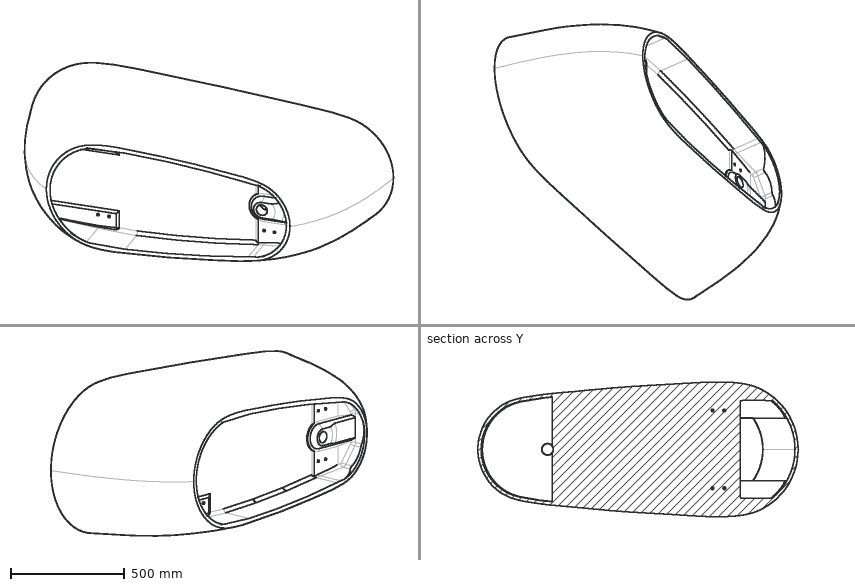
import cadquery as cq
import math

height = 600.0
foot_y = -height / 2
rim_y = height / 2

sections = [
    (0.0, 569.0, 259.0, 4500.0),
    (140.0, 694.0, 293.0, 7000.0),
    (293.0, 770.0, 318.0, 10000.0),
    (447.0, 817.0, 334.5, 12000.0),
    (height, 849.69, 349.2, 14000.0),
]
steps_per_arc = 4
arc_shares = (0.28, 0.5, 0.22)
narrow_end_ratio = 0.78
wall = 17.0

pocket_back = [(-720.0, 80.0), (-650.0, 215.0), (-380.0, 233.0), (-198.0, 238.0)]
pocket_front = [(376.0, 183.0), (402.0, 179.0), (556.0, 165.0), (624.0, 75.0)]
pocket_side_middle = (95.0, 219.0)
pocket_corner_radius = 25.0
floor_y_at_middle = -146.0
floor_slope = 0.03
pocket_fillet = 15.0
plate_thickness = 25.0

pad_rise = 5.0
pad_step_run = 14.0
rear_pad_edge_x = -283.0
rear_pad_inner_z = 138.0
front_pad_edge_x = 361.0
foot_hole_diameter = 10.0
foot_hole_depth = 20.0
rear_foot_holes_x = (-382.0, -330.0)
rear_foot_holes_z = 172.0
front_foot_holes_x = (401.0, 449.0)
front_foot_holes_z = 115.0

drain_x = 400.0
drain_diameter = 50.0
boss_foot_radius = 69.0
boss_flare_rise = 3.0
boss_base_radius = 57.0
boss_top_radius = 38.0
boss_rise = 32.0
ridge_rise = 22.0
boss_end_top_radius = 61.0
boss_end_foot_radius = 99.0

reach = 1000.0


def floor_y(x):
    """Height of the sloping pocket floor at x."""
    return floor_y_at_middle - floor_slope * x


def plan(y):
    """Workplane seen from below at height y, drawing in X and Z and extruding downwards."""
    return cq.Workplane("XZ", origin=(0, y, 0))


def egg_outline(y, half_length, wide_radius, bow_radius, inset):
    """Closed outline: each half runs smoothly through points on three tangent arcs."""
    narrow_radius = narrow_end_ratio * wide_radius
    wide_x = wide_radius - half_length
    narrow_x = half_length - narrow_radius

    to_wide = bow_radius - wide_radius
    to_narrow = bow_radius - narrow_radius
    span = narrow_x - wide_x
    bow_x = wide_x + (to_wide**2 - to_narrow**2 + span**2) / (2 * span)
    bow_z = -math.sqrt(to_wide**2 - (bow_x - wide_x) ** 2)
    wide_angle = math.atan2(-bow_z, wide_x - bow_x)
    narrow_angle = math.atan2(-bow_z, narrow_x - bow_x)

    arcs = [
        (wide_x, 0, wide_radius, math.pi, wide_angle),
        (bow_x, bow_z, bow_radius, wide_angle, narrow_angle),
        (narrow_x, 0, narrow_radius, narrow_angle, 0),
    ]
    places = [(inset - half_length, 0)]
    parameters = [0.0]
    for share, (centre_x, centre_z, radius, start, end) in zip(arc_shares, arcs):
        for step in range(1, steps_per_arc + 1):
            angle = start + (end - start) * step / steps_per_arc
            x = centre_x + (radius - inset) * math.cos(angle)
            z = centre_z + (radius - inset) * math.sin(angle)
            places.append((x, z))
            parameters.append(parameters[-1] + share / steps_per_arc)

    upper = [cq.Vector(x, y, z) for x, z in places]
    lower = [cq.Vector(x, y, -z) for x, z in reversed(places)]
    back = [1 - parameter for parameter in reversed(parameters)]
    wide_tip = cq.Vector(0, 0, (wide_radius - inset) * (math.pi - wide_angle) / arc_shares[0])
    narrow_tip = cq.Vector(0, 0, (narrow_radius - inset) * narrow_angle / arc_shares[-1])
    halves = [
        cq.Edge.makeSpline(upper, [wide_tip, -narrow_tip], parameters=parameters, scale=False),
        cq.Edge.makeSpline(lower, [-narrow_tip, wide_tip], parameters=back, scale=False),
    ]
    return cq.Wire.assembleEdges(halves)


def egg_body(inset):
    """Solid tub body with every outline drawn in by the inset."""
    wires = []
    for rise, half_length, wide_radius, bow_radius in sections:
        wires.append(egg_outline(foot_y + rise, half_length, wide_radius, bow_radius, inset))
    return cq.Workplane(cq.Solid.makeLoft(wires))


def below_plate(offset):
    """Everything lower than the pocket floor raised by the offset."""
    return (
        cq.Workplane("XY")
        .moveTo(-reach, -reach)
        .lineTo(reach, -reach)
        .lineTo(reach, floor_y(reach) + offset)
        .lineTo(-reach, floor_y(-reach) + offset)
        .close()
        .extrude(reach, both=True)
    )


def pocket():
    """Filleted prism standing square to the sloping floor, open downwards."""

    def across(points):
        return [(x, -z) for x, z in reversed(points)]

    prism = (
        plan(0)
        .polyline(pocket_back)
        .threePointArc(pocket_side_middle, pocket_front[0])
        .polyline(pocket_front[1:] + across(pocket_front), includeCurrent=True)
        .threePointArc(*across([pocket_side_middle, pocket_back[-1]])[::-1])
        .polyline(across(pocket_back)[1:], includeCurrent=True)
        .close()
        .extrude(height)
        .edges("|Y")
        .fillet(pocket_corner_radius)
    )
    prism = prism.faces(">Y").edges().fillet(pocket_fillet)
    tilt = -math.degrees(math.atan(floor_slope))
    return prism.rotate((0, 0, 0), (0, 0, 1), tilt).translate((0, floor_y_at_middle, 0))


def tapered_pad(x_min, x_max, z_min, z_max, base_y):
    """Rectangular pad whose sides slope in over the step run."""
    taper = math.degrees(math.atan2(pad_step_run, pad_rise))
    return (
        plan(base_y)
        .center((x_min + x_max) / 2, (z_min + z_max) / 2)
        .rect(x_max - x_min, z_max - z_min)
        .extrude(pad_rise, taper=taper)
    )


def pads():
    """One pad across the narrow end and one in each corner of the wide end."""
    front = tapered_pad(front_pad_edge_x, reach, -reach, reach, floor_y(front_pad_edge_x))
    base_y = floor_y(rear_pad_edge_x)
    upper = tapered_pad(-reach, rear_pad_edge_x, rear_pad_inner_z, reach, base_y)
    lower = tapered_pad(-reach, rear_pad_edge_x, -reach, -rear_pad_inner_z, base_y)
    return front.union(upper).union(lower)


def boss_layer(base_y, rise, radius, top_radius):
    """Round-ended ridge around the drain and on to the +X end, with sloping sides."""
    taper = math.degrees(math.atan2(radius - top_radius, rise))
    return (
        plan(base_y)
        .moveTo(reach, radius)
        .lineTo(drain_x, radius)
        .threePointArc((drain_x - radius, 0), (drain_x, -radius))
        .lineTo(reach, -radius)
        .close()
        .extrude(rise, taper=taper)
    )


def drain_boss():
    """Boss around the drain, ending in a cone that drops to the channel ridge."""
    base_y = floor_y(drain_x)
    flare_y = floor_y(front_pad_edge_x) - pad_rise
    body_y = flare_y - boss_flare_rise
    body_rise = body_y - (base_y - boss_rise)
    foot = boss_layer(floor_y(0), floor_y(0) - flare_y, boss_foot_radius, boss_foot_radius)
    flare = boss_layer(flare_y, boss_flare_rise, boss_foot_radius, boss_base_radius)
    body = boss_layer(body_y, body_rise, boss_base_radius, boss_top_radius)
    boss = foot.union(flare).union(body)
    ridge_y = base_y - ridge_rise
    drop = boss_rise - ridge_rise
    cone = cq.Workplane(
        cq.Solid.makeCone(
            boss_end_foot_radius,
            boss_end_top_radius,
            drop,
            pnt=cq.Vector(drain_x, ridge_y, 0),
            dir=cq.Vector(0, -1, 0),
        )
    )
    above_ridge = plan(ridge_y).rect(2 * reach, 2 * reach).extrude(drop)
    return boss.cut(above_ridge.cut(cone))


def foot_holes():
    """Blind holes for the feet, two on each side of every pad."""
    rear = [(x, side * rear_foot_holes_z) for x in rear_foot_holes_x for side in (1, -1)]
    front = [(x, side * front_foot_holes_z) for x in front_foot_holes_x for side in (1, -1)]
    holes = None
    for edge_x, places in ((rear_pad_edge_x, rear), (front_pad_edge_x, front)):
        top_y = floor_y(edge_x) - pad_rise
        group = plan(top_y + foot_hole_depth).pushPoints(places).circle(foot_hole_diameter / 2)
        group = group.extrude(foot_hole_depth)
        holes = group if holes is None else holes.union(group)
    return holes


inner = egg_body(wall)
basin = inner.cut(below_plate(plate_thickness))
hollow = inner.intersect(pocket()).cut(pads()).cut(drain_boss())
drain = plan(rim_y).center(drain_x, 0).circle(drain_diameter / 2).extrude(height)

result = egg_body(0).cut(basin).cut(hollow).cut(foot_holes()).cut(drain)